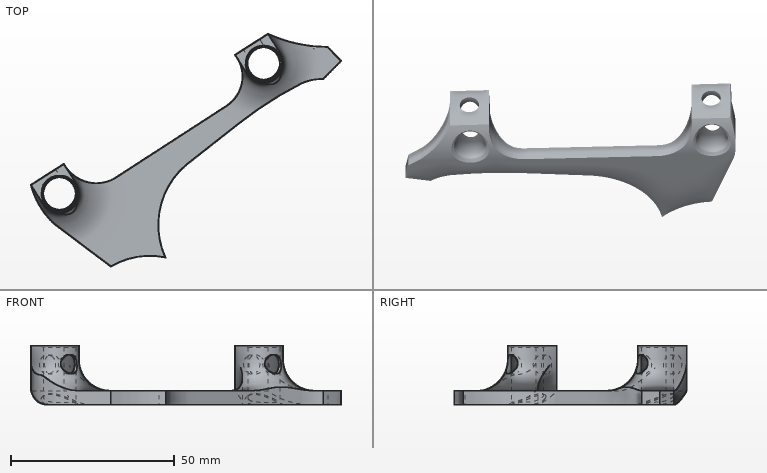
import cadquery as cq
import math

length = 95.1
depth = 71.3
height = 18.2
plate_thickness = 4.4

boss_radius = 6.0
bore_radius = 4.9
bore_chamfer = 0.6
lower_chamfer = 0.9
face_distance = 6.9
collar_height = 4.4
boss_pitch = 74.2
boss_angle = 32.5

cross_hole_radius = 2.9
cross_hole_height = 12.5

relief_height = plate_thickness
relief_length = 11.4

collar_base = height - collar_height
flare_radius = collar_base - plate_thickness
flare_reach = boss_radius + flare_radius
cos_a = math.cos(math.radians(boss_angle))
sin_a = math.sin(math.radians(boss_angle))

lower_x = boss_radius * cos_a + face_distance * sin_a
upper_y = depth - boss_radius * sin_a - face_distance * cos_a
lower_boss = (lower_x, upper_y - boss_pitch * sin_a)
upper_boss = (lower_x + boss_pitch * cos_a, upper_y)


def from_boss(boss, along, outward):
    """Plan point given along the mounting face and outward from the boss axis."""
    return (
        boss[0] + along * cos_a - outward * sin_a,
        boss[1] + along * sin_a + outward * cos_a,
    )


def face_corner(boss, side):
    return from_boss(boss, side * boss_radius, face_distance)


def outline(extrusion):
    """Plan outline of the bracket, extruded upward."""
    return (
        cq.Workplane("XY")
        .moveTo(*face_corner(lower_boss, -1))
        .threePointArc((2.6, 18.8), (7.2, 13.0))
        .lineTo(24.5, 0)
        .threePointArc((32.6, 2.9), (41.3, 2.8))
        .threePointArc((39.2, 14.6), (47.5, 31.1))
        .lineTo(63.5, 43.6)
        .threePointArc((73.1, 50.5), (82.9, 56.1))
        .threePointArc((86.1, 57.1), (89.6, 57.4))
        .lineTo(length, 63.0)
        .lineTo(90.9, 67.3)
        .lineTo(85.9, 67.6)
        .threePointArc((80.3, 68.6), face_corner(upper_boss, 1))
        .lineTo(*face_corner(upper_boss, -1))
        .threePointArc((64.65, 56.4), (60.1, 49.3))
        .lineTo(25.6, 27.0)
        .threePointArc((19.9, 25.6), face_corner(lower_boss, 1))
        .close()
        .extrude(extrusion)
    )


def place(shape, boss):
    """Move a boss-centred shape, with its face toward +Y, to its boss."""
    return shape.rotate((0, 0, 0), (0, 0, 1), boss_angle).translate((*boss, 0))


def half_profile(plane):
    """Half section of the flared boss, drawn outward from the boss axis."""
    arc_inset = flare_radius * (1 - math.sqrt(0.5))
    return (
        cq.Workplane(plane)
        .lineTo(flare_reach, 0)
        .lineTo(flare_reach, plate_thickness)
        .threePointArc(
            (boss_radius + arc_inset, plate_thickness + arc_inset),
            (boss_radius, collar_base),
        )
        .lineTo(boss_radius, height)
        .lineTo(0, height)
        .close()
    )


def flared_boss():
    """Round flared boss continued straight to its flat mounting face."""
    round_part = half_profile("XZ").revolve(360, (0, 0, 0), (0, 1, 0))
    behind_face = cq.Workplane("XY").box(
        2 * flare_reach, flare_reach + face_distance, height, centered=(True, False, False)
    ).translate((0, -flare_reach, 0))
    side = half_profile("XZ").extrude(-face_distance)
    return round_part.intersect(behind_face).union(side).union(side.mirror("YZ"))


def boss_cuts():
    """Chamfered bore, cross hole and the curved relief under the face."""
    bore = cq.Workplane("XY").circle(bore_radius).extrude(height)
    bore_mouth = (
        cq.Workplane("XY", origin=(0, 0, height - bore_chamfer))
        .circle(bore_radius)
        .workplane(offset=bore_chamfer)
        .circle(bore_radius + bore_chamfer)
        .loft()
    )
    cross_hole = (
        cq.Workplane("XZ", origin=(0, face_distance, cross_hole_height))
        .circle(cross_hole_radius)
        .extrude(2 * flare_reach)
    )
    radius = (relief_length**2 + relief_height**2) / (2 * relief_height)
    half_angle = math.atan2(relief_height, relief_length)
    start = face_distance - relief_length
    relief = (
        cq.Workplane("YZ", origin=(-flare_reach, 0, 0))
        .moveTo(start, 0)
        .threePointArc(
            (start + radius * math.sin(half_angle), radius * (1 - math.cos(half_angle))),
            (face_distance, relief_height),
        )
        .lineTo(face_distance, 0)
        .close()
        .extrude(2 * flare_reach)
    )
    return bore.union(bore_mouth).union(cross_hole).union(relief)


def collar():
    """Straight-walled body of a boss, round with a flat mounting face."""
    return (
        cq.Workplane("XY", origin=(0, 0, plate_thickness))
        .circle(boss_radius)
        .extrude(height - plate_thickness)
        .union(
            cq.Workplane("XY", origin=(0, face_distance / 2, plate_thickness))
            .rect(2 * boss_radius, face_distance)
            .extrude(height - plate_thickness)
        )
    )


def lower_bore_edge(boss):
    """Selector for the bore edges that meet the underside and its relief."""
    reach = bore_radius + bore_chamfer
    return cq.selectors.BoxSelector(
        (boss[0] - reach, boss[1] - reach, -bore_chamfer),
        (boss[0] + reach, boss[1] + reach, plate_thickness),
        boundingbox=True,
    )


result = outline(plate_thickness)
trim = outline(collar_base)
for boss in (lower_boss, upper_boss):
    flare = place(flared_boss(), boss).intersect(trim)
    result = result.union(flare).union(place(collar(), boss))
    result = result.cut(place(boss_cuts(), boss))
    result = result.edges(lower_bore_edge(boss)).chamfer(lower_chamfer)